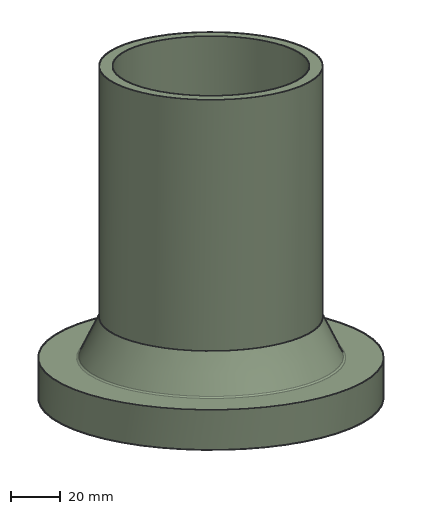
import cadquery as cq

total_height = 140.0
pipe_diameter = 90.0
wall_thickness = 5.4
flange_diameter = 139.0
flange_thickness = 17.0
cone_height = 17.0
cone_base_diameter = 107.0
root_fillet_radius = 1.0

pipe_radius = pipe_diameter / 2
bore_radius = pipe_radius - wall_thickness
flange_radius = flange_diameter / 2
cone_base_radius = cone_base_diameter / 2
cone_top_height = flange_thickness + cone_height


def make_stub_end():
    """Revolve the half section, drawn as (radius, height), about the Z axis."""
    half_section = (
        cq.Workplane("XZ")
        .moveTo(bore_radius, 0)
        .lineTo(flange_radius, 0)
        .lineTo(flange_radius, flange_thickness)
        .lineTo(cone_base_radius, flange_thickness)
        .lineTo(pipe_radius, cone_top_height)
        .lineTo(pipe_radius, total_height)
        .lineTo(bore_radius, total_height)
        .close()
    )
    return half_section.revolve(360, (0, 0, 0), (0, 1, 0))


def round_cone_root(body):
    """Fillet the inside corner where the cone meets the flange."""
    cone_base = cq.selectors.RadiusNthSelector(-2)
    return body.edges(cone_base).fillet(root_fillet_radius)


result = round_cone_root(make_stub_end())